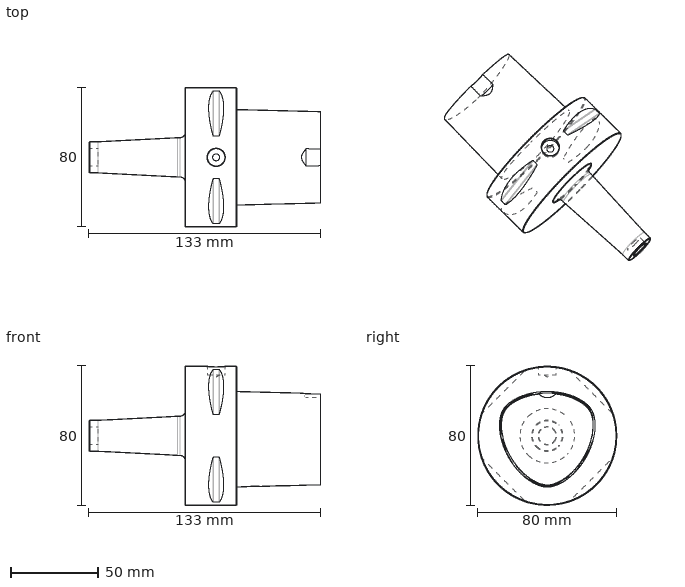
import cadquery as cq
import math

TOTAL_LENGTH = 133.0
FLANGE_START = 55.0
SHANK_LENGTH = 48.0
FLANGE_END = TOTAL_LENGTH - SHANK_LENGTH

NOSE_TIP_RADIUS = 18.0 / 2
NOSE_TIP_LENGTH = 5.0
NOSE_TIP_CHAMFER = 0.4
NOSE_BASE_RADIUS = 22.7 / 2
NOSE_TAPER_END = 50.9
NOSE_BASE_END = 52.1
BORE_RADIUS = 10.0 / 2
BORE_MOUTH_RADIUS = 10.5 / 2
BORE_DEPTH = 5.0

BLEND_RADIUS = 3.3
RECESS_LEDGE_WIDTH = 1.0

FLANGE_RADIUS = 80.0 / 2
FRONT_CHAMFER = 0.4
REAR_CHAMFER = 0.5
FEATURE_X = 73.0

GROOVE_COUNT = 4
GROOVE_FIRST_ANGLE = 45.0
GROOVE_FLOOR_DISTANCE = 35.6
GROOVE_FLOOR_WIDTH = 3.6
GROOVE_WALL_ANGLE = 30.0
GROOVE_ROOT_FILLET = 0.5
GROOVE_CUT_CLEARANCE = 1.0

RADIAL_HOLE_RADIUS = 10.0 / 2
RADIAL_HOLE_MOUTH_RADIUS = 10.5 / 2
RADIAL_HOLE_DEPTH = 5.0
DIMPLE_RADIUS = 4.0 / 2
DIMPLE_POINT_ANGLE = 118.0

SHANK_BASE_RADIUS = 27.5
SHANK_TAPER = 1 / 40
SHANK_TIP_RADIUS = SHANK_BASE_RADIUS - SHANK_LENGTH * SHANK_TAPER
LOBE_HEIGHT = 2.0
LOBE_COUNT = 3
SHANK_OUTLINE_POINTS = 48

NOTCH_RADIUS = 6.5
NOTCH_LENGTH = 8.3
NOTCH_DEPTH = 2.4


def make_turned_body():
    """Nose, blend, face recess and flange, revolved about X."""
    recess_x = NOSE_BASE_END + BLEND_RADIUS
    recess_radius = NOSE_BASE_RADIUS + BLEND_RADIUS
    blend_middle = (
        NOSE_BASE_END + BLEND_RADIUS * math.sin(math.pi / 4),
        recess_radius - BLEND_RADIUS * math.cos(math.pi / 4),
    )
    return (
        cq.Workplane("XY")
        .moveTo(0, 0)
        .lineTo(0, NOSE_TIP_RADIUS - NOSE_TIP_CHAMFER)
        .lineTo(NOSE_TIP_CHAMFER, NOSE_TIP_RADIUS)
        .lineTo(NOSE_TIP_LENGTH, NOSE_TIP_RADIUS)
        .lineTo(NOSE_TAPER_END, NOSE_BASE_RADIUS)
        .lineTo(NOSE_BASE_END, NOSE_BASE_RADIUS)
        .threePointArc(blend_middle, (recess_x, recess_radius))
        .lineTo(recess_x, recess_radius + RECESS_LEDGE_WIDTH)
        .lineTo(FLANGE_START, recess_radius + RECESS_LEDGE_WIDTH)
        .lineTo(FLANGE_START, FLANGE_RADIUS - FRONT_CHAMFER)
        .lineTo(FLANGE_START + FRONT_CHAMFER, FLANGE_RADIUS)
        .lineTo(FLANGE_END - REAR_CHAMFER, FLANGE_RADIUS)
        .lineTo(FLANGE_END, FLANGE_RADIUS - REAR_CHAMFER)
        .lineTo(FLANGE_END, 0)
        .close()
        .revolve(360, (0, 0, 0), (1, 0, 0))
    )


def make_nose_bore():
    """Blind bore in the nose face with a 45 degree chamfered mouth."""
    chamfer = BORE_MOUTH_RADIUS - BORE_RADIUS
    return (
        cq.Workplane("XY")
        .polyline([
            (0, 0),
            (0, BORE_MOUTH_RADIUS),
            (chamfer, BORE_RADIUS),
            (BORE_DEPTH, BORE_RADIUS),
            (BORE_DEPTH, 0),
        ])
        .close()
        .revolve(360, (0, 0, 0), (1, 0, 0))
    )


def lobed_point(mean_radius, angle):
    """Outline point (y, z) whose normal has the given angle; one lobe points to -Z."""
    distance = mean_radius + LOBE_HEIGHT * math.sin(LOBE_COUNT * angle)
    slope = LOBE_COUNT * LOBE_HEIGHT * math.cos(LOBE_COUNT * angle)
    return (
        distance * math.cos(angle) - slope * math.sin(angle),
        distance * math.sin(angle) + slope * math.cos(angle),
    )


def lobed_outline(mean_radius):
    """Closed outline points of the shank section."""
    step = 2 * math.pi / SHANK_OUTLINE_POINTS
    return [lobed_point(mean_radius, i * step) for i in range(SHANK_OUTLINE_POINTS)]


def make_shank():
    """Three-lobed taper from the flange to the rear end."""
    return (
        cq.Workplane("YZ", origin=(FLANGE_END, 0, 0))
        .spline(lobed_outline(SHANK_BASE_RADIUS), periodic=True)
        .close()
        .workplane(offset=SHANK_LENGTH)
        .spline(lobed_outline(SHANK_TIP_RADIUS), periodic=True)
        .close()
        .loft(ruled=True)
    )


def make_gripper_groove(angle):
    """Straight groove with a flat floor and sloping walls, facing the given angle about X."""
    height = FLANGE_RADIUS - GROOVE_FLOOR_DISTANCE + GROOVE_CUT_CLEARANCE
    floor_half = GROOVE_FLOOR_WIDTH / 2
    top_half = floor_half + height * math.tan(math.radians(GROOVE_WALL_ANGLE))
    top = GROOVE_FLOOR_DISTANCE + height
    return (
        cq.Workplane("XZ")
        .polyline([
            (FEATURE_X - floor_half, GROOVE_FLOOR_DISTANCE),
            (FEATURE_X + floor_half, GROOVE_FLOOR_DISTANCE),
            (FEATURE_X + top_half, top),
            (FEATURE_X - top_half, top),
        ])
        .close()
        .extrude(FLANGE_RADIUS, both=True)
        .faces("<Z")
        .edges("|Y")
        .fillet(GROOVE_ROOT_FILLET)
        .rotate((0, 0, 0), (1, 0, 0), angle)
    )


def make_radial_hole():
    """Flat-bottomed hole with a chamfered mouth and a conical dimple in its floor."""
    floor_z = FLANGE_RADIUS - RADIAL_HOLE_DEPTH
    chamfer = RADIAL_HOLE_MOUTH_RADIUS - RADIAL_HOLE_RADIUS
    mouth_z = math.sqrt(FLANGE_RADIUS**2 - RADIAL_HOLE_MOUTH_RADIUS**2)
    dimple_depth = DIMPLE_RADIUS / math.tan(math.radians(DIMPLE_POINT_ANGLE / 2))
    return (
        cq.Workplane("XZ")
        .polyline([
            (0, floor_z - dimple_depth),
            (DIMPLE_RADIUS, floor_z),
            (RADIAL_HOLE_RADIUS, floor_z),
            (RADIAL_HOLE_RADIUS, mouth_z - chamfer),
            (RADIAL_HOLE_MOUTH_RADIUS, mouth_z),
            (RADIAL_HOLE_MOUTH_RADIUS, FLANGE_RADIUS),
            (0, FLANGE_RADIUS),
        ])
        .close()
        .revolve(360, (0, 0, 0), (0, 1, 0))
        .translate((FEATURE_X, 0, 0))
    )


def make_notch():
    """Round-bottomed notch with a 45 degree conical end, along the top of the shank end."""
    axis_z = SHANK_TIP_RADIUS - LOBE_HEIGHT - NOTCH_DEPTH + NOTCH_RADIUS
    start_x = TOTAL_LENGTH - NOTCH_LENGTH
    return (
        cq.Workplane("XY")
        .polyline([
            (start_x - NOTCH_RADIUS, 0),
            (start_x, NOTCH_RADIUS),
            (TOTAL_LENGTH, NOTCH_RADIUS),
            (TOTAL_LENGTH, 0),
        ])
        .close()
        .revolve(360, (0, 0, 0), (1, 0, 0))
        .translate((0, 0, axis_z))
    )


result = make_turned_body().union(make_shank())
result = result.cut(make_nose_bore())
for index in range(GROOVE_COUNT):
    result = result.cut(make_gripper_groove(GROOVE_FIRST_ANGLE + index * 360 / GROOVE_COUNT))
result = result.cut(make_radial_hole())
result = result.cut(make_notch())